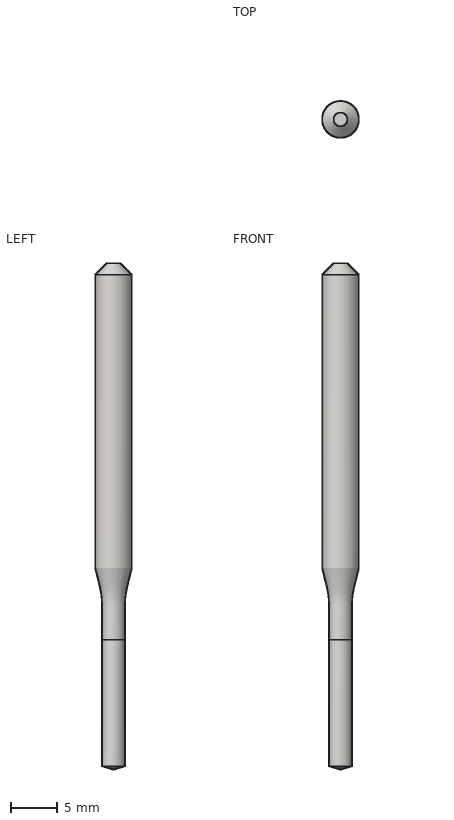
import cadquery as cq
import math

total_length = 55.0
shank_radius = 4.0 / 2
cutter_radius = 2.55 / 2

tip_height = 0.4
joint_z = 14.15
shoulder_z = 21.9

end_chamfer = 1.25

taper_angle = math.radians(14)
blend_radius = 8.0


def blend_point(angle, neck_z):
    """Point on the blend arc, where angle is measured up from the neck."""
    radius = cutter_radius + blend_radius * (1 - math.cos(angle))
    return radius, neck_z + blend_radius * math.sin(angle)


def make_shank():
    """Shank with chamfered upper end, taper and reduced neck."""
    blend_width = blend_radius * (1 - math.cos(taper_angle))
    blend_height = blend_radius * math.sin(taper_angle)
    cone_width = shank_radius - cutter_radius - blend_width
    cone_height = cone_width / math.tan(taper_angle)
    neck_z = shoulder_z - cone_height - blend_height
    return (
        cq.Workplane("XZ")
        .moveTo(0, joint_z)
        .lineTo(cutter_radius, joint_z)
        .lineTo(cutter_radius, neck_z)
        .threePointArc(blend_point(taper_angle / 2, neck_z), blend_point(taper_angle, neck_z))
        .lineTo(shank_radius, shoulder_z)
        .lineTo(shank_radius, total_length - end_chamfer)
        .lineTo(shank_radius - end_chamfer, total_length)
        .lineTo(0, total_length)
        .close()
        .revolve(360, (0, 0), (0, 1))
    )


def make_cutter():
    """Cylindrical cutter with a shallow conical tip."""
    return (
        cq.Workplane("XZ")
        .moveTo(0, 0)
        .lineTo(cutter_radius, tip_height)
        .lineTo(cutter_radius, joint_z)
        .lineTo(0, joint_z)
        .close()
        .revolve(360, (0, 0), (0, 1))
    )


shank = make_shank()
cutter = make_cutter()

result = cq.Compound.makeCompound([shank.val(), cutter.val()])